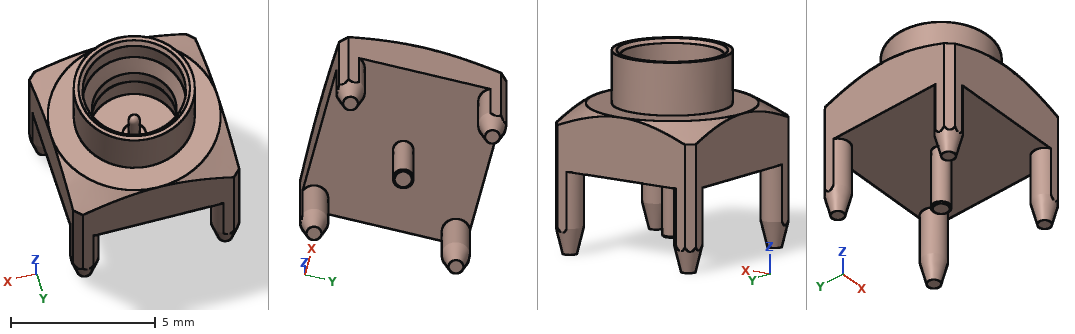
import cadquery as cq

body_width = 6.0
body_bottom = 3.0
body_top = 5.225
corner_chamfer = 0.27
crown_radius = body_width / 2
crown_outer_radius = 4.615
crown_slope = 0.577

overall_height = 7.1
collar_radius = 2.1
mouth_radius = 1.93
bore_radius = 1.79
mouth_depth = mouth_radius - bore_radius
throat_radius = 1.47
taper_top = 6.19
taper_bottom = 5.645
throat_bottom = 5.055
groove_radius = 1.605
groove_wall_top = 4.83
socket_floor = 3.975

leg_spacing = 5.085
leg_radius = 0.5
leg_tip_radius = 0.255
leg_taper_height = 0.965

tail_radius = 0.355
tail_bottom = 0.5
tail_chamfer = 0.06
contact_shoulder_radius = 0.405
contact_shoulder_height = 0.015
contact_radius = 0.195
contact_top = 5.11


def square_prism(bottom, top):
    """Body outline with chamfered vertical corners."""
    return (
        cq.Workplane("XY", origin=(0, 0, bottom))
        .rect(body_width, body_width)
        .extrude(top - bottom)
        .edges("|Z")
        .chamfer(corner_chamfer)
    )


def revolve_profile(points):
    """Turn a closed (radius, height) profile around the Z axis."""
    return cq.Workplane("XZ").polyline(points).close().revolve(360, (0, 0), (0, 1))


def make_body():
    """Square block whose top corners are cut by a cone."""
    crown_drop = (crown_outer_radius - crown_radius) * crown_slope
    crown = revolve_profile([
        (0, body_bottom),
        (crown_outer_radius, body_bottom),
        (crown_outer_radius, body_top - crown_drop),
        (crown_radius, body_top),
        (0, body_top),
    ])
    return square_prism(body_bottom, body_top).intersect(crown)


def make_legs():
    """Four tapered round legs, trimmed flush with the body sides."""
    leg = revolve_profile([
        (0, 0),
        (leg_tip_radius, 0),
        (leg_radius, leg_taper_height),
        (leg_radius, body_bottom),
        (0, body_bottom),
    ])
    legs = cq.Workplane("XY")
    for x_side in (-1, 1):
        for y_side in (-1, 1):
            legs = legs.add(leg.translate((x_side * leg_spacing / 2, y_side * leg_spacing / 2, 0)))
    return legs.combine().intersect(square_prism(0, body_bottom))


def make_socket():
    """Cutting shape for the flared socket, undercut below its throat."""
    return revolve_profile([
        (0, socket_floor),
        (groove_radius, socket_floor),
        (groove_radius, groove_wall_top),
        (throat_radius, throat_bottom),
        (throat_radius, taper_bottom),
        (bore_radius, taper_top),
        (bore_radius, overall_height - mouth_depth),
        (mouth_radius, overall_height),
        (0, overall_height),
    ])


def make_tail():
    """Solder tail below the body, chamfered at its tip."""
    return (
        cq.Workplane("XY", origin=(0, 0, tail_bottom))
        .circle(tail_radius)
        .extrude(body_bottom - tail_bottom)
        .faces("<Z")
        .chamfer(tail_chamfer)
    )


def make_contact():
    """Domed contact pin on a low round shoulder at the socket floor."""
    shoulder = (
        cq.Workplane("XY", origin=(0, 0, socket_floor))
        .circle(contact_shoulder_radius)
        .extrude(contact_shoulder_height)
    )
    dome_center = contact_top - contact_radius
    pin = (
        cq.Workplane("XY", origin=(0, 0, socket_floor))
        .circle(contact_radius)
        .extrude(dome_center - socket_floor)
    )
    dome = cq.Workplane("XY", origin=(0, 0, dome_center)).sphere(contact_radius)
    return shoulder.union(pin).union(dome)


collar = (
    cq.Workplane("XY", origin=(0, 0, body_top))
    .circle(collar_radius)
    .extrude(overall_height - body_top)
)
result = make_body().union(collar).cut(make_socket())
result = result.union(make_legs()).union(make_tail()).union(make_contact())